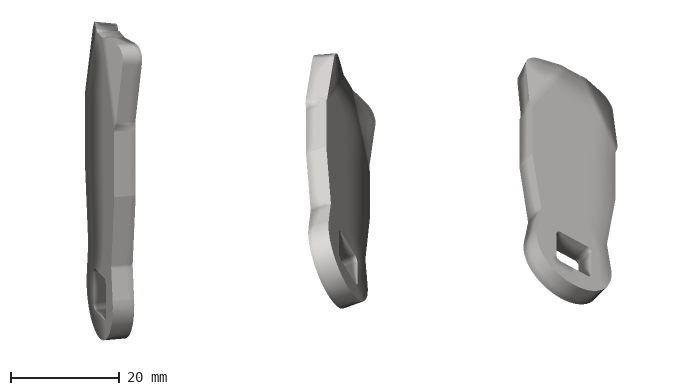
import cadquery as cq
import math

thickness = 4.1
half_width = 9.45
eye_radius = 8.5
shoulder_z = 30.1
neck_half_width = 7.45
neck_z = 16.05
neck_fillet = 1.5
hole_side = 8.0
hole_corner_radius = 1.0

flat_top_z = 58.45
bend_top_x = 1.5
bend_bottom_z = 42.75
bend_angle = math.radians(15)
inner_bend_radius = 1.0
neutral_fraction = 0.38
tab_corner_radius = 3.0
bend_sections = 5

outer_bend_radius = inner_bend_radius + thickness
neutral_length = (inner_bend_radius + thickness * neutral_fraction) * bend_angle
bend_dx = half_width - bend_top_x
bend_dz = flat_top_z - bend_bottom_z
bend_length = math.hypot(bend_dx, bend_dz)
slant_sin = bend_dx / bend_length
slant_cos = bend_dz / bend_length


def eye_tangent_point():
    """Point where the straight edge below the neck meets the eye tangentially."""
    rise = neck_z - eye_radius
    distance = math.hypot(neck_half_width, rise)
    angle = math.atan2(rise, neck_half_width) - math.acos(eye_radius / distance)
    return eye_radius * math.cos(angle), eye_radius + eye_radius * math.sin(angle)


def front_plane():
    """XZ plane whose normal points through the plate, along +Y."""
    return cq.Plane(origin=(0, 0, 0), xDir=(-1, 0, 0), normal=(0, 1, 0))


def make_plate():
    tangent_x, tangent_z = eye_tangent_point()
    plate = (
        cq.Workplane(front_plane())
        .moveTo(bend_top_x, flat_top_z)
        .lineTo(half_width, bend_bottom_z)
        .lineTo(half_width, shoulder_z)
        .lineTo(neck_half_width, neck_z)
        .lineTo(tangent_x, tangent_z)
        .threePointArc((0, 0), (-tangent_x, tangent_z))
        .lineTo(-neck_half_width, neck_z)
        .lineTo(-half_width, shoulder_z)
        .lineTo(-half_width, bend_bottom_z)
        .lineTo(-bend_top_x, flat_top_z)
        .close()
        .extrude(thickness)
    )
    neck_box = cq.selectors.BoxSelector(
        (-half_width, 0, neck_z - neck_fillet), (half_width, thickness, neck_z + neck_fillet)
    )
    return plate.edges(neck_box).edges("|Y").fillet(neck_fillet)


def make_hole():
    return (
        cq.Workplane(front_plane())
        .center(0, eye_radius)
        .rect(hole_side, hole_side)
        .extrude(thickness)
        .edges("|Y")
        .fillet(hole_corner_radius)
    )


def top_end(flat_distance):
    """Position along the bend line of the top edge of the unbent sheet."""
    return flat_distance * slant_sin / slant_cos


def side_end(flat_distance):
    """Position along the bend line of the side edge of the unbent sheet."""
    return (bend_dx - flat_distance * slant_cos) / slant_sin


def bend_point(along, radius, angle):
    """Point in the bend, by position along its axis, radius and turned angle."""
    across = radius * math.sin(angle)
    return cq.Vector(
        bend_top_x + along * slant_sin + across * slant_cos,
        outer_bend_radius - radius * math.cos(angle),
        flat_top_z - along * slant_cos + across * slant_sin,
    )


def make_bend():
    """Loft the sheet section around the bend as its ends follow the flat outline."""
    wires = []
    for index in range(bend_sections):
        fraction = index / (bend_sections - 1)
        angle = fraction * bend_angle
        top = top_end(fraction * neutral_length)
        side = side_end(fraction * neutral_length)
        corners = [
            bend_point(top, outer_bend_radius, angle),
            bend_point(side, outer_bend_radius, angle),
            bend_point(side, inner_bend_radius, angle),
            bend_point(top, inner_bend_radius, angle),
        ]
        wires.append(cq.Wire.makePolygon(corners, close=True))
    return cq.Workplane(cq.Solid.makeLoft(wires, False))


def make_tab():
    """Flat triangular tab beyond the bend, with its outer corner rounded."""
    plane = cq.Plane(
        origin=bend_point(0, outer_bend_radius, bend_angle),
        xDir=(slant_sin, 0, -slant_cos),
        normal=(
            -math.sin(bend_angle) * slant_cos,
            math.cos(bend_angle),
            -math.sin(bend_angle) * slant_sin,
        ),
    )
    corner_distance = bend_dx * slant_cos
    corner_along = top_end(corner_distance)
    corner_across = neutral_length - corner_distance
    tab = (
        cq.Workplane(plane)
        .moveTo(top_end(neutral_length), 0)
        .lineTo(side_end(neutral_length), 0)
        .lineTo(corner_along, corner_across)
        .close()
        .extrude(thickness)
    )
    corner_edge = cq.selectors.NearestToPointSelector(
        plane.toWorldCoords((corner_along, corner_across, thickness / 2)).toTuple()
    )
    return tab.edges(corner_edge).fillet(tab_corner_radius)


right_corner = make_bend().union(make_tab())
left_corner = right_corner.mirror("YZ")
result = make_plate().union(right_corner).union(left_corner).cut(make_hole())